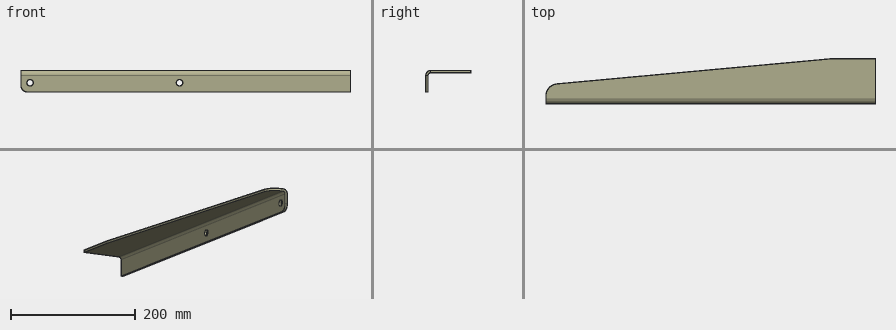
import cadquery as cq

length = 529.93
depth = 72.35
height = 35.0

thickness = 4.0
inner_bend_radius = 4.0
outer_bend_radius = inner_bend_radius + thickness
bend_overhang = 0.1
flange_length = length - bend_overhang

narrow_depth = 30.45
wide_length = 72.5
narrow_corner_radius = 20.0

lower_corner_radius = 11.0
hole_diameter = 10.0
hole_spacing = 240.0
first_hole_x = 15.0
hole_count = 2
hole_z = 15.0


def make_top_flange():
    """Horizontal flange, tapering towards the rounded narrow end."""
    return (
        cq.Workplane("XY")
        .workplane(offset=height - thickness)
        .moveTo(0, outer_bend_radius)
        .lineTo(flange_length, outer_bend_radius)
        .lineTo(flange_length, depth)
        .lineTo(flange_length - wide_length, depth)
        .lineTo(0, narrow_depth)
        .close()
        .extrude(thickness)
        .edges("|Z").edges("<X").edges(">Y")
        .fillet(narrow_corner_radius)
    )


def make_front_flange():
    """Vertical flange with a rounded lower corner and mounting holes."""
    flange = (
        cq.Workplane("XY")
        .box(flange_length, thickness, height - outer_bend_radius, centered=False)
        .edges("|Y").edges("<X").edges("<Z")
        .fillet(lower_corner_radius)
    )
    for index in range(hole_count):
        hole_x = first_hole_x + index * hole_spacing
        hole = (
            cq.Workplane("XZ", origin=(hole_x, 0, hole_z))
            .circle(hole_diameter / 2)
            .extrude(-thickness)
        )
        flange = flange.cut(hole)
    return flange


def make_bend():
    """Quarter-round bend joining the two flanges, along the X axis."""
    bend_z = height - outer_bend_radius
    return (
        cq.Workplane("YZ")
        .moveTo(0, bend_z)
        .radiusArc((outer_bend_radius, height), outer_bend_radius)
        .lineTo(outer_bend_radius, height - thickness)
        .radiusArc((thickness, bend_z), -inner_bend_radius)
        .close()
        .extrude(length)
    )


result = make_top_flange().union(make_bend()).union(make_front_flange())